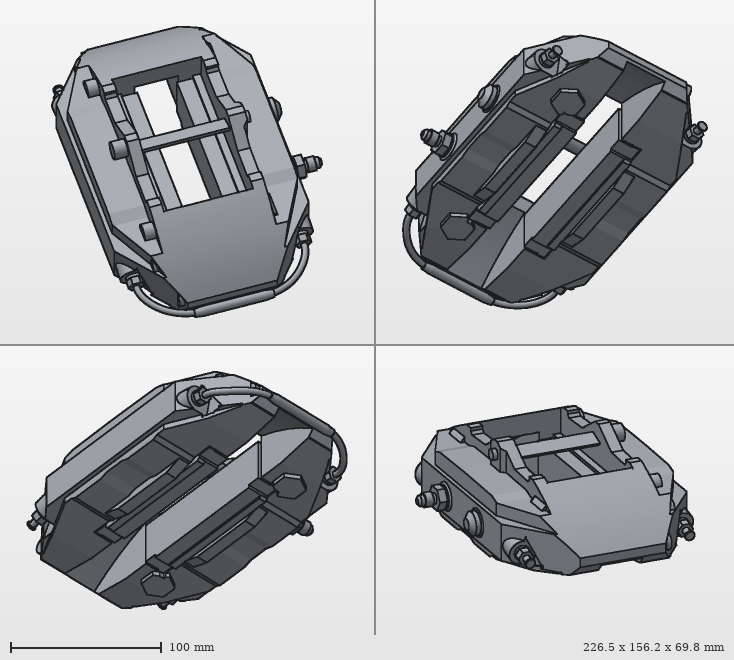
import cadquery as cq
import math

HALF_LENGTH = 109.8
HALF_WIDTH = 67.7
LONG_SIDE_HALF = 63.6
NOSE_HALF_WIDTH = 31.3
BLOCK_TOP = 26.5

TIER_HALF_WIDTH = 64.5
TIER_CORNER_X = 49.0
TIER_END = (94.9, 41.0)
TIER_TOP = 35.5
CROWN_TOP = 38.5
CROWN_RIDGE_X = 8.5
CROWN_EDGE_TOP = 38.0
CROWN_EDGE_X = 41.5
CROWN_FOOT_X = 50.0
TIER_BOTTOM = -4.8
PISTON_SWELL_BOTTOM = -6.8

WALL_OUTER = 39.6
BACK_RADIUS = 155.8
BACK_TOP = 58.5
NOSE_BOTTOM = 6.5
EAR_TOP = 49.4
EAR_INNER_X = 46.5
HILL_APEX = 60.0
LUG_BOTTOM = -11.3
BULGE_HALF = 42.3

WINDOW_HALF_LENGTH = 57.0
WINDOW_HALF_WIDTH = 31.0
DISC_SLOT_HALF_WIDTH = 15.2
DISC_RADIUS = 174.4
DISC_AXIS_Z = -132.0

LINING_INNER = 13.8
LINING_OUTER = 25.0
LINING_HALF_LENGTH = 55.7
LINING_TOP = 27.9
LINING_BOTTOM = -7.2
PLATE_OUTER = 30.3
PLATE_HALF_LENGTH = 56.4
PLATE_TOP = 30.0
TONGUE_HALF = 46.2
TONGUE_BOTTOM = -8.8
TONGUE_CHAMFER = 1.8

PIN_RADIUS = 6.1
PIN_Z = 48.7
PIN_HEAD_Y = -49.0
PIN_TIP_RADIUS = 3.8
PIN_TIP_Y = 46.2
PIN_FLAT_OFFSET = 1.1
PIN_FLAT_TILT = 20.0
PIN_BOSS_Y = 42.8
PIN_BOSS_HALF_TIP = 7.5
PIN_BOSS_HALF_ROOT = 10.5

BOLT_END_RADIUS = 6.1
BOLT_ENDS = [(102.4, -36.2, 11.3), (82.2, -47.8, 25.5), (62.0, -47.5, 36.0)]
HEX_BOLT_X = 65.0
HEX_BOLT_Y = 33.3
HEX_BOLT_CORNERS = 22.6
HEX_BOLT_BOTTOM = -8.4
WEDGE_X = HEX_BOLT_X
WEDGE_WIDTH = 18.1
WEDGE_TOP = 39.2
WEDGE_OUTER = 42.8

PORT_Y = 58.2
PORT_X = 75.2
PORT_Z = 9.0
PORT_RADIUS = 8.8
PORT_TILT = 12.0
PORT_DEPTH = 18.1
NOTCH_FLOOR = 48.2
NOTCH_APEX_Z = 20.5
NOTCH_INNER_Z = -1.8
NOTCH_OUTER = (88.3, 0.2)
COLLAR_RADIUS = 5.2
COLLAR_END = 2.3
NUT_CORNERS = 11.0
NUT_END = 7.5
BLEED_STEM_RADIUS = 2.5
BLEED_STEM_END = 13.5
BLEED_RIM_RADIUS = 3.5
BLEED_RIM_END = 14.7
PIPE_RADIUS = 2.3
PIPE_Z = 4.8
SLEEVE_RADIUS = 3.5
SLEEVE_TIP_RADIUS = 2.7
SLEEVE_X = 113.2
SLEEVE_HALF_LENGTH = 22.0
SLEEVE_CONE_LENGTH = 5.7

FITTING_Z = 13.1
FITTING_SEAT_Y = HALF_WIDTH - 2.3
FITTING_SEAT_RADIUS = 10.0
PLUG_X = -25.1
PLUG_RIM_Y = 68.6
PLUG_RADIUS = 8.4
PLUG_TIP_RADIUS = 4.0
PLUG_TIP_Y = 75.6
INLET_X = 25.1
INLET_HEX_CORNERS = 17.5
INLET_HEX_START = 70.2
INLET_HEX_END = 75.9
INLET_SHOULDER_RADIUS = 8.4
INLET_NECK_RADIUS = 3.8
BARREL_RADIUS = 5.0
BARREL_START = 78.4
BARREL_END = 84.0
INLET_TIP_RADIUS = 2.0
INLET_TIP_Y = 88.5

FAR = 135.9


def mirrored(half_outline):
    """Close an outline given by its +X half, listed from one end to the other."""
    return half_outline + [(-x, z) for x, z in reversed(half_outline) if x != 0]


def slab_along_y(outline, y_start, y_end):
    """Extrude an (X, Z) outline from y_start to y_end."""
    return cq.Workplane("XZ", origin=(0, y_start, 0)).polyline(outline).close().extrude(y_start - y_end)


def cylinder_along_y(x, z, radius, y_start, y_end):
    return cq.Workplane("XZ", origin=(x, y_start, z)).circle(radius).extrude(y_start - y_end)


def plan_prism(half_outline, bottom, top):
    """Extrude a plan outline given by its +X half."""
    outline = mirrored(half_outline)
    return cq.Workplane("XY", origin=(0, 0, bottom)).polyline(outline).close().extrude(top - bottom)


def make_housing_shell():
    plan = [
        (LONG_SIDE_HALF, HALF_WIDTH),
        (HALF_LENGTH, NOSE_HALF_WIDTH),
        (HALF_LENGTH, -NOSE_HALF_WIDTH),
        (LONG_SIDE_HALF, -HALF_WIDTH),
    ]
    tier_plan = [
        (TIER_CORNER_X, TIER_HALF_WIDTH),
        TIER_END,
        (HALF_LENGTH, NOSE_HALF_WIDTH),
        (HALF_LENGTH, -NOSE_HALF_WIDTH),
        (TIER_END[0], -TIER_END[1]),
        (TIER_CORNER_X, -TIER_HALF_WIDTH),
    ]
    underside = [(HALF_LENGTH, NOSE_BOTTOM), (103.7, -0.5), (77.0, TIER_BOTTOM)]
    crown = [(0, CROWN_TOP), (CROWN_RIDGE_X, CROWN_TOP), (CROWN_EDGE_X, CROWN_EDGE_TOP),
             (CROWN_FOOT_X, TIER_TOP), (HALF_LENGTH, TIER_TOP)]
    swells = [(BULGE_HALF, TIER_BOTTOM), (38.5, PISTON_SWELL_BOTTOM), (13.5, PISTON_SWELL_BOTTOM),
              (7.2, TIER_BOTTOM), (0, TIER_BOTTOM)]
    wall_top = [(0, HILL_APEX), (23.3, 46.0), (44.4, 45.0), (EAR_INNER_X, 47.0), (EAR_INNER_X, EAR_TOP),
                (HALF_LENGTH, EAR_TOP)]
    lug = [(BULGE_HALF, TIER_BOTTOM), (23.8, LUG_BOTTOM)]
    block_profile = [(HALF_LENGTH, BLOCK_TOP), (HALF_LENGTH, NOSE_BOTTOM), (104.2, 0)]

    tier = plan_prism(tier_plan, -FAR, FAR)
    tier = tier.intersect(slab_along_y(mirrored(crown + underside + swells), -FAR, FAR))
    walls = slab_along_y(mirrored(wall_top + underside + lug), -WALL_OUTER, WALL_OUTER)
    block = slab_along_y(mirrored(block_profile), -FAR, FAR)
    pin_boss = make_pin_boss(mirrored(wall_top + underside))
    rounded_back = cylinder_along_y(0, BACK_TOP - BACK_RADIUS, BACK_RADIUS, -FAR, FAR)
    shell = block.union(tier).union(walls).union(pin_boss)
    return shell.intersect(plan_prism(plan, -FAR, FAR)).intersect(rounded_back)


def make_pin_boss(wall_profile):
    """Thickening of the +Y wall behind the pin, with slanted flanks."""
    boss = slab_along_y(wall_profile, WINDOW_HALF_WIDTH, PIN_BOSS_Y)
    flanks = [(PIN_BOSS_HALF_ROOT, WINDOW_HALF_WIDTH), (PIN_BOSS_HALF_ROOT, WALL_OUTER),
              (PIN_BOSS_HALF_TIP, PIN_BOSS_Y)]
    return boss.intersect(plan_prism(flanks, BLOCK_TOP, HILL_APEX))


def cut_openings(body):
    window = cq.Workplane("XY").box(2 * WINDOW_HALF_LENGTH, 2 * WINDOW_HALF_WIDTH, 2 * FAR)
    disc_slot = cylinder_along_y(0, DISC_AXIS_Z, DISC_RADIUS, -DISC_SLOT_HALF_WIDTH, DISC_SLOT_HALF_WIDTH)
    return body.cut(window).cut(disc_slot)


def make_retaining_pin():
    """Round pin ends in both walls, joined by a bar with a tilted flat across the window."""
    head = cylinder_along_y(0, PIN_Z, PIN_RADIUS, PIN_HEAD_Y, -WINDOW_HALF_WIDTH)
    tip = cylinder_along_y(0, PIN_Z, PIN_TIP_RADIUS, WINDOW_HALF_WIDTH, PIN_TIP_Y)
    bar_end = (WINDOW_HALF_WIDTH + WALL_OUTER) / 2
    bar = cylinder_along_y(0, PIN_Z, PIN_RADIUS, -bar_end, bar_end)
    flat = cq.Workplane("XY").box(FAR, FAR, FAR, centered=(True, True, False))
    flat = flat.rotate((0, 0, 0), (0, 1, 0), -PIN_FLAT_TILT).translate((0, 0, PIN_Z - PIN_FLAT_OFFSET))
    return head.union(tip).union(bar.cut(flat))


def make_bolt_end(side, x, y, z):
    """Round end of a bridge bolt, running into the housing from y."""
    return cylinder_along_y(side * x, z, BOLT_END_RADIUS, y, -WINDOW_HALF_WIDTH)


def make_hex_bolt(side):
    """Hexagon head under the +Y half of the housing."""
    head = cq.Workplane("XY", origin=(side * HEX_BOLT_X, HEX_BOLT_Y, HEX_BOLT_BOTTOM))
    return head.polygon(6, HEX_BOLT_CORNERS).extrude(-HEX_BOLT_BOTTOM)


def make_wall_wedge(side):
    """Small sloped ledge at the foot of the +Y wall."""
    x_start = side * WEDGE_X - WEDGE_WIDTH / 2
    outline = [(WINDOW_HALF_WIDTH, BLOCK_TOP), (WEDGE_OUTER, BLOCK_TOP), (WEDGE_OUTER, TIER_TOP),
               (WALL_OUTER, WEDGE_TOP), (WINDOW_HALF_WIDTH, WEDGE_TOP)]
    return cq.Workplane("YZ", origin=(x_start, 0, 0)).polyline(outline).close().extrude(WEDGE_WIDTH)


def port_plane(x_side, y_side):
    """Workplane on the port face, with its normal along the outward, drooping port axis."""
    tilt = math.radians(PORT_TILT)
    outward = (x_side * math.cos(tilt), 0, -math.sin(tilt))
    return cq.Workplane(cq.Plane(origin=(x_side * PORT_X, y_side * PORT_Y, PORT_Z), xDir=(0, 1, 0),
                                 normal=outward))


def make_port_boss(x_side, y_side):
    return port_plane(x_side, y_side).circle(PORT_RADIUS).extrude(-PORT_DEPTH)


def make_port_notch(x_side, y_side):
    """Three-cornered recess in the slanted side, in front of the port face."""
    lean = math.tan(math.radians(PORT_TILT))
    apex = (PORT_X + (NOTCH_APEX_Z - PORT_Z) * lean, NOTCH_APEX_Z)
    inner = (PORT_X + (NOTCH_INNER_Z - PORT_Z) * lean, NOTCH_INNER_Z)
    outline = [(x_side * x, z) for x, z in (apex, NOTCH_OUTER, inner)]
    return slab_along_y(outline, y_side * NOTCH_FLOOR, y_side * FAR)


def make_port_nut(x_side, y_side):
    face = port_plane(x_side, y_side)
    collar = face.circle(COLLAR_RADIUS).extrude(COLLAR_END)
    nut = face.workplane(offset=COLLAR_END).polygon(6, NUT_CORNERS).extrude(NUT_END - COLLAR_END)
    return collar.union(nut)


def make_bleed_screw(y_side):
    face = port_plane(-1, y_side)
    stem = face.circle(BLEED_STEM_RADIUS).extrude(BLEED_STEM_END)
    rim_start = face.workplane(offset=BLEED_STEM_END)
    rim = rim_start.circle(BLEED_RIM_RADIUS).extrude(BLEED_RIM_END - BLEED_STEM_END)
    return make_port_nut(-1, y_side).union(stem).union(rim)


def make_pipe_run(y_side):
    """Bent pipe from a +X port nut to the sleeve along the nose."""
    path_points = [(81.0, PORT_Y, 7.5), (87.5, 57.7, 6.3), (95.3, 53.7, PIPE_Z), (110.0, 36.7, PIPE_Z),
                   (SLEEVE_X, SLEEVE_HALF_LENGTH, PIPE_Z)]
    path = cq.Workplane("XY").spline([(x, y_side * y, z) for x, y, z in path_points])
    profile_plane = cq.Plane(origin=path.val().startPoint(), xDir=(0, 0, 1), normal=path.val().tangentAt(0))
    pipe = cq.Workplane(profile_plane).circle(PIPE_RADIUS).sweep(path)
    return make_port_nut(1, y_side).union(pipe)


def make_sleeve():
    """Straight sleeve with tapered ends that joins the two pipe runs."""
    cone_end = SLEEVE_HALF_LENGTH + SLEEVE_CONE_LENGTH
    outline = [(SLEEVE_TIP_RADIUS, -cone_end), (SLEEVE_RADIUS, -SLEEVE_HALF_LENGTH),
               (SLEEVE_RADIUS, SLEEVE_HALF_LENGTH), (SLEEVE_TIP_RADIUS, cone_end)]
    return turned_along_y(SLEEVE_X, PIPE_Z, outline)


def turned_along_y(x, z, radii_and_y):
    """Turned shape around a Y axis, from its (radius, y) outline."""
    first_y = radii_and_y[0][1]
    last_y = radii_and_y[-1][1]
    outline = [(0, first_y)] + radii_and_y + [(0, last_y)]
    return cq.Workplane("XY").polyline(outline).close().revolve(360, (0, 0), (0, 1)).translate((x, 0, z))


def make_plug():
    outline = [(FITTING_SEAT_RADIUS, FITTING_SEAT_Y), (FITTING_SEAT_RADIUS, HALF_WIDTH),
               (8.8, PLUG_RIM_Y), (PLUG_RADIUS, PLUG_RIM_Y), (PLUG_RADIUS, 72.0),
               (PLUG_TIP_RADIUS, PLUG_TIP_Y)]
    return turned_along_y(PLUG_X, FITTING_Z, outline)


def make_inlet():
    outline = [(FITTING_SEAT_RADIUS, FITTING_SEAT_Y), (FITTING_SEAT_RADIUS, HALF_WIDTH),
               (INLET_SHOULDER_RADIUS, 69.0), (INLET_SHOULDER_RADIUS, INLET_HEX_START),
               (INLET_NECK_RADIUS, INLET_HEX_START), (INLET_NECK_RADIUS, BARREL_START),
               (BARREL_RADIUS, BARREL_START), (BARREL_RADIUS, BARREL_END),
               (INLET_NECK_RADIUS, BARREL_END), (INLET_NECK_RADIUS, 86.7), (INLET_TIP_RADIUS, INLET_TIP_Y)]
    turned = turned_along_y(INLET_X, FITTING_Z, outline)
    hexagon = cq.Workplane("XZ", origin=(INLET_X, INLET_HEX_START, FITTING_Z)).polygon(6, INLET_HEX_CORNERS)
    return turned.union(hexagon.extrude(INLET_HEX_START - INLET_HEX_END))


def make_housing():
    body = make_housing_shell()
    for x_side in (-1, 1):
        for bolt_end in BOLT_ENDS:
            body = body.union(make_bolt_end(x_side, *bolt_end))
        body = body.union(make_hex_bolt(x_side))
        body = body.union(make_wall_wedge(x_side))
        for y_side in (-1, 1):
            body = body.union(make_port_boss(x_side, y_side))
            body = body.cut(make_port_notch(x_side, y_side))
    body = cut_openings(body)
    body = body.union(make_retaining_pin())
    for y_side in (-1, 1):
        body = body.union(make_bleed_screw(y_side))
        body = body.union(make_pipe_run(y_side))
    return body.union(make_sleeve()).union(make_plug()).union(make_inlet())


def make_pad(side):
    """Brake pad: backing plate near the window wall, with its lining facing the disc slot."""
    tongue_shoulder = TONGUE_BOTTOM + TONGUE_CHAMFER
    plate_outline = mirrored([
        (PLATE_HALF_LENGTH, PLATE_TOP),
        (PLATE_HALF_LENGTH, TIER_BOTTOM),
        (TONGUE_HALF, TIER_BOTTOM),
        (TONGUE_HALF, tongue_shoulder),
        (TONGUE_HALF - TONGUE_CHAMFER, TONGUE_BOTTOM),
    ])
    lining_outline = mirrored([
        (LINING_HALF_LENGTH, LINING_TOP),
        (LINING_HALF_LENGTH, TIER_BOTTOM),
        (TONGUE_HALF, TIER_BOTTOM),
        (TONGUE_HALF, LINING_BOTTOM),
    ])
    plate = slab_along_y(plate_outline, side * LINING_OUTER, side * PLATE_OUTER)
    lining = slab_along_y(lining_outline, side * LINING_INNER, side * LINING_OUTER)
    return plate.union(lining)


housing = make_housing()
pads = [make_pad(side) for side in (-1, 1)]

result = cq.Compound.makeCompound([housing.val(), *[pad.val() for pad in pads]])